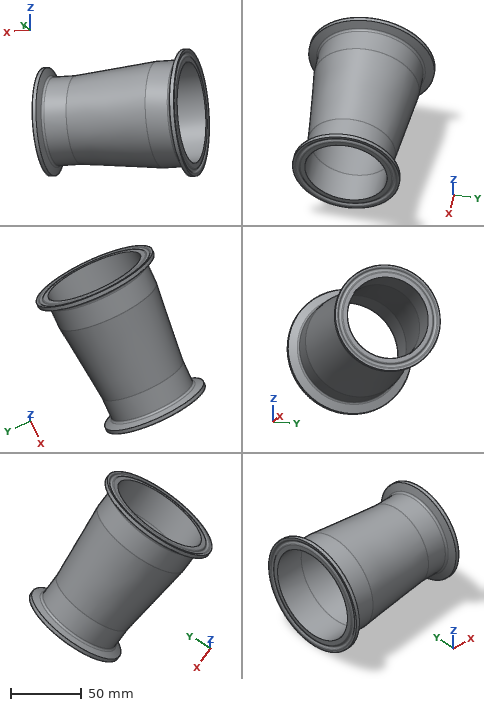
import cadquery as cq
import math

length = 107.0
ferrule_length = 23.2
large_tube_diameter = 76.3
large_flange_diameter = 91.0
large_bore_diameter = 72.3
small_tube_diameter = 63.5
small_flange_diameter = 77.5
small_bore_diameter = 59.5

rim_width = 2.9
flange_angle = math.radians(20)
neck_radius = 1.8

groove_inset = 3.6
groove_floor_width = 2.5
groove_lip_width = 0.7
groove_flank_angle = math.radians(60)


def neck_points(flange_diameter, tube_diameter):
    """Flange back corner, fillet start, middle and end, as (distance from end face, radius)."""
    flange_radius = flange_diameter / 2
    center_radius = tube_diameter / 2 + neck_radius

    start_radius = center_radius - neck_radius * math.sin(flange_angle)
    start_x = rim_width + (flange_radius - start_radius) * math.tan(flange_angle)
    center_x = start_x + neck_radius * math.cos(flange_angle)

    mid_angle = (flange_angle + math.pi / 2) / 2
    middle = (
        center_x - neck_radius * math.cos(mid_angle),
        center_radius - neck_radius * math.sin(mid_angle),
    )
    return [
        (rim_width, flange_radius),
        (start_x, start_radius),
        middle,
        (center_x, tube_diameter / 2),
    ]


def make_groove(flange_diameter):
    """Ring to cut from an end face at X = 0: concave floor between two rounded lips."""
    middle_radius = flange_diameter / 2 - groove_inset
    half_floor = groove_floor_width / 2
    half_mouth = half_floor + groove_lip_width
    floor_radius = half_floor / math.sin(groove_flank_angle)
    lip_radius = groove_lip_width / math.sin(groove_flank_angle)
    lip_depth = lip_radius * (1 - math.cos(groove_flank_angle))
    depth = lip_depth + floor_radius * (1 - math.cos(groove_flank_angle))

    half_angle = groove_flank_angle / 2
    lip_mid_depth = lip_radius * (1 - math.cos(half_angle))
    lip_mid_offset = half_mouth - lip_radius * math.sin(half_angle)

    return (
        cq.Workplane("XZ")
        .moveTo(0, middle_radius - half_mouth)
        .threePointArc(
            (lip_mid_depth, middle_radius - lip_mid_offset),
            (lip_depth, middle_radius - half_floor),
        )
        .threePointArc((depth, middle_radius), (lip_depth, middle_radius + half_floor))
        .threePointArc(
            (lip_mid_depth, middle_radius + lip_mid_offset),
            (0, middle_radius + half_mouth),
        )
        .close()
        .revolve(360, (0, 0, 0), (1, 0, 0))
    )


def from_far_end(solid):
    """Turn a solid built at X = 0 around to face outward at the small end."""
    return solid.mirror("YZ").translate((length, 0, 0))


def make_body():
    """Hollow reducer: flanged tube, cone, smaller flanged tube."""
    large_neck = neck_points(large_flange_diameter, large_tube_diameter)
    small_neck = [
        (length - x, radius)
        for x, radius in neck_points(small_flange_diameter, small_tube_diameter)
    ]
    cone_start = ferrule_length
    cone_end = length - ferrule_length

    return (
        cq.Workplane("XZ")
        .moveTo(0, large_bore_diameter / 2)
        .lineTo(0, large_flange_diameter / 2)
        .lineTo(*large_neck[0])
        .lineTo(*large_neck[1])
        .threePointArc(large_neck[2], large_neck[3])
        .lineTo(cone_start, large_tube_diameter / 2)
        .lineTo(cone_end, small_tube_diameter / 2)
        .lineTo(*small_neck[3])
        .threePointArc(small_neck[2], small_neck[1])
        .lineTo(*small_neck[0])
        .lineTo(length, small_flange_diameter / 2)
        .lineTo(length, small_bore_diameter / 2)
        .lineTo(cone_end, small_bore_diameter / 2)
        .lineTo(cone_start, large_bore_diameter / 2)
        .close()
        .revolve(360, (0, 0, 0), (1, 0, 0))
    )


large_groove = make_groove(large_flange_diameter)
small_groove = from_far_end(make_groove(small_flange_diameter))

result = make_body().cut(large_groove).cut(small_groove)